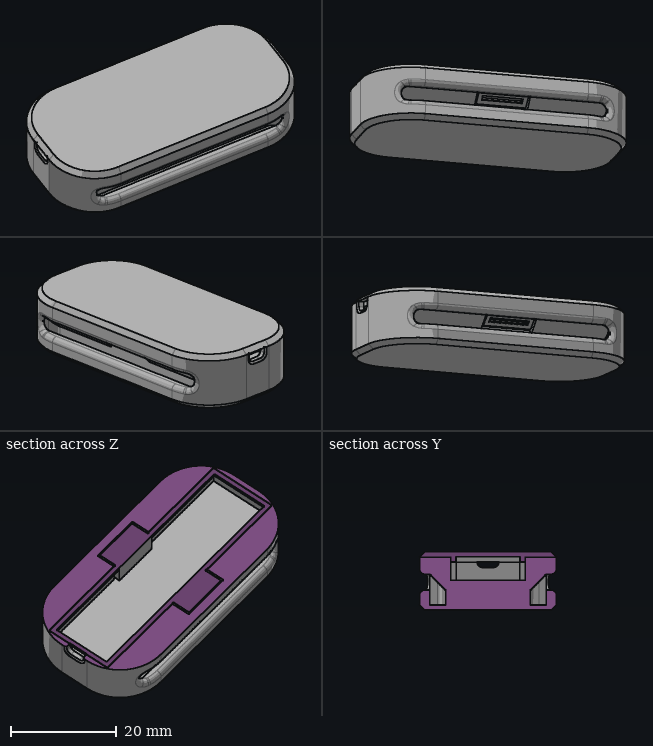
import cadquery as cq
import math

LENGTH = 52.0
WIDTH = 26.0
HEIGHT = 11.1
CORNER_RADIUS = 10.0
EDGE_CHAMFER = 1.0

LID_THICKNESS = EDGE_CHAMFER
CASE_HEIGHT = HEIGHT - LID_THICKNESS

FLOOR_THICKNESS = 1.0
SIDE_WALL = 2.0
END_WALL = 1.25

SLOT_LENGTH = 40.35
SLOT_HEIGHT = 2.9
SLOT_CENTER_Z = 5.3
SLOT_FILLET = 1.05
SLOT_TOP_Z = SLOT_CENTER_Z + SLOT_HEIGHT / 2

POCKET_LENGTH = 41.0
POCKET_DEPTH = 3.0
POCKET_OUTER_X = WIDTH / 2 - SIDE_WALL
POCKET_BACK_X = POCKET_OUTER_X - POCKET_DEPTH
POCKET_CORNER_RADIUS = 1.55

CAVITY_SIDE_WALL = 1.0
CAVITY_HALF_WIDTH = POCKET_BACK_X - CAVITY_SIDE_WALL
CAVITY_LENGTH = LENGTH - 2 * END_WALL
CAVITY_FLOOR_Z = 5.65

OPENING_WIDTH = 10.4
SILL_FILLET = 0.95

NOTCH_WIDTH = 4.0
NOTCH_FLOOR_Z = 8.1
NOTCH_CORNER_RADIUS = 1.0
BEVEL_WIDTH = 0.5
BEVEL_DEPTH = 0.235
BEVEL_ANGLE = math.degrees(math.atan2(BEVEL_WIDTH, BEVEL_DEPTH))

LIP_DEPTH = 1.0
LIP_THICKNESS = 1.0

TONGUE_SIDE_GAP = 0.3
TONGUE_WALL_GAP = 0.15
TONGUE_WIDTH = OPENING_WIDTH - 2 * TONGUE_SIDE_GAP
TONGUE_OUTER_X = POCKET_OUTER_X - TONGUE_WALL_GAP
TONGUE_INNER_X = CAVITY_HALF_WIDTH - LIP_THICKNESS
TONGUE_TIP_Z = 5.15
TONGUE_TIP_RUN = 1.9

GROOVE_WIDTH = 7.9
GROOVE_HEIGHT = 0.6
GROOVE_BOTTOM_Z = 5.75
GROOVE_TOP_Z = GROOVE_BOTTOM_Z + GROOVE_HEIGHT
GROOVE_BACK_X = TONGUE_OUTER_X - 1.8
GROOVE_LEAN = 0.15

SIDES = (-1, 1)


def box(x_min, x_max, y_width, z_min, z_max):
    """Block between two X planes and two Z planes, centred on Y = 0."""
    block = cq.Workplane("XY").box(x_max - x_min, y_width, z_max - z_min, centered=False)
    return block.translate((x_min, -y_width / 2, z_min))


def bar(section, y_width):
    """XZ outline extruded along Y, centred on Y = 0."""
    return cq.Workplane("XZ").polyline(section).close().extrude(y_width / 2, both=True)


def on_side(shape, side):
    """A shape made for the +X side, mirrored when it is wanted on the -X side."""
    return shape if side > 0 else shape.mirror("YZ")


def rounded_rectangle(width, length, radius):
    return cq.Sketch().rect(width, length).vertices().fillet(radius)




def case_blank():
    """Solid block of the case with a chamfered bottom edge."""
    plan = rounded_rectangle(WIDTH, LENGTH, CORNER_RADIUS)
    return cq.Workplane("XY").placeSketch(plan).extrude(CASE_HEIGHT).faces("<Z").chamfer(EDGE_CHAMFER)


def cut_slots(body):
    """Cut the slots through the side walls only and round their outer rims."""
    core = box(-POCKET_OUTER_X, POCKET_OUTER_X, LENGTH, 0, HEIGHT)
    slot = cq.Workplane("YZ", origin=(0, 0, SLOT_CENTER_Z)).slot2D(SLOT_LENGTH, SLOT_HEIGHT)
    body = body.cut(slot.extrude(WIDTH, both=True).cut(core))
    clear_of_inner_rim = POCKET_OUTER_X + 0.05
    rims = []
    for side in SIDES:
        zone = cq.selectors.BoxSelector(
            (side * clear_of_inner_rim, -LENGTH / 2, SLOT_CENTER_Z - SLOT_HEIGHT),
            (side * WIDTH, LENGTH / 2, SLOT_CENTER_Z + SLOT_HEIGHT),
        )
        rims += body.edges(zone).edges("not |X").edges("not |Z").vals()
    return body.newObject(rims).fillet(SLOT_FILLET)


def pocket_cutter():
    """Pocket on the +X side; its roof drops at 45 degrees away from the slot."""
    section = [
        (POCKET_OUTER_X, FLOOR_THICKNESS),
        (POCKET_OUTER_X, SLOT_TOP_Z),
        (POCKET_BACK_X, SLOT_TOP_Z - POCKET_DEPTH),
        (POCKET_BACK_X, FLOOR_THICKNESS),
    ]
    plan = box(POCKET_BACK_X, POCKET_OUTER_X, POCKET_LENGTH, 0, HEIGHT)
    plan = plan.edges("|Z and <X").fillet(POCKET_CORNER_RADIUS)
    return bar(section, POCKET_LENGTH).intersect(plan)


def opening_cutter():
    """Opening on the +X side above a sill with a rounded pocket edge."""
    sill = box(CAVITY_HALF_WIDTH, POCKET_BACK_X, OPENING_WIDTH, FLOOR_THICKNESS, CAVITY_FLOOR_Z)
    sill = sill.edges(">X and >Z").fillet(SILL_FILLET)
    space = box(CAVITY_HALF_WIDTH, POCKET_OUTER_X, OPENING_WIDTH, FLOOR_THICKNESS, CASE_HEIGHT)
    return space.cut(sill)


def notch_cutter():
    """Connector notch through the -Y wall, with a bevelled mouth."""
    half_height = CASE_HEIGHT - NOTCH_FLOOR_Z
    outside = cq.Workplane("XZ", origin=(0, -LENGTH / 2, CASE_HEIGHT))
    throat_plan = rounded_rectangle(NOTCH_WIDTH, 2 * half_height, NOTCH_CORNER_RADIUS)
    throat = outside.placeSketch(throat_plan).extrude(-END_WALL)
    mouth_plan = rounded_rectangle(
        NOTCH_WIDTH + 2 * BEVEL_WIDTH,
        2 * (half_height + BEVEL_WIDTH),
        NOTCH_CORNER_RADIUS + BEVEL_WIDTH,
    )
    mouth = outside.placeSketch(mouth_plan).extrude(-BEVEL_DEPTH, taper=BEVEL_ANGLE)
    return throat.union(mouth)


def make_case():
    body = cut_slots(case_blank())
    body = body.cut(notch_cutter())
    body = body.cut(box(-CAVITY_HALF_WIDTH, CAVITY_HALF_WIDTH, CAVITY_LENGTH, CAVITY_FLOOR_Z, CASE_HEIGHT))
    for side in SIDES:
        body = body.cut(on_side(pocket_cutter(), side))
        body = body.cut(on_side(opening_cutter(), side))
    return body




def lid_plate():
    """Plate whose edge slopes in at 45 degrees over its whole thickness."""
    plan = rounded_rectangle(WIDTH, LENGTH, CORNER_RADIUS)
    return cq.Workplane("XY", origin=(0, 0, CASE_HEIGHT)).placeSketch(plan).extrude(LID_THICKNESS, taper=45)


def lid_lip():
    """Rectangular ring that drops into the top of the cavity."""
    bottom_z = CASE_HEIGHT - LIP_DEPTH
    inner_length = CAVITY_LENGTH - 2 * LIP_THICKNESS
    outer = box(-CAVITY_HALF_WIDTH, CAVITY_HALF_WIDTH, CAVITY_LENGTH, bottom_z, CASE_HEIGHT)
    return outer.cut(box(-TONGUE_INNER_X, TONGUE_INNER_X, inner_length, bottom_z, CASE_HEIGHT))


def lid_tongue():
    """Tongue on the +X side with a sloped outer tip and a groove across the slope."""
    section = [
        (TONGUE_INNER_X, CASE_HEIGHT),
        (TONGUE_OUTER_X, CASE_HEIGHT),
        (TONGUE_OUTER_X, SLOT_TOP_Z),
        (TONGUE_OUTER_X - TONGUE_TIP_RUN, TONGUE_TIP_Z),
        (POCKET_BACK_X, TONGUE_TIP_Z),
        (POCKET_BACK_X, CAVITY_FLOOR_Z),
        (TONGUE_INNER_X, CAVITY_FLOOR_Z),
    ]
    groove_section = [
        (TONGUE_OUTER_X, GROOVE_BOTTOM_Z),
        (GROOVE_BACK_X, GROOVE_BOTTOM_Z),
        (GROOVE_BACK_X, (GROOVE_BOTTOM_Z + GROOVE_TOP_Z) / 2),
        (GROOVE_BACK_X + GROOVE_LEAN, GROOVE_TOP_Z),
        (TONGUE_OUTER_X, GROOVE_TOP_Z),
    ]
    return bar(section, TONGUE_WIDTH).cut(bar(groove_section, GROOVE_WIDTH))


def make_lid():
    lid = lid_plate().union(lid_lip())
    for side in SIDES:
        lid = lid.union(on_side(lid_tongue(), side))
    return lid


case = make_case()
lid = make_lid()
result = cq.Compound.makeCompound([case.solids().val(), lid.solids().val()])